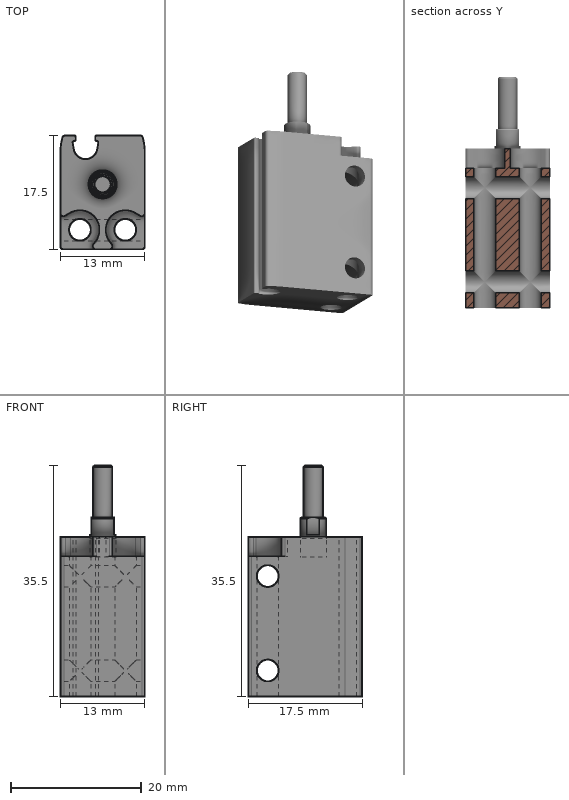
import cadquery as cq
import math

width = 13.0
depth = 17.5
housing_height = 24.5
total_height = 35.5
half_width = width / 2
half_depth = depth / 2
corner_radius = 0.5

crown_radius = 8.88
crown_length = 2.65

hole_diameter = 3.3
hole_inset = 3.0
hole_x = half_width - hole_inset
hole_y = -half_depth + hole_inset
cross_hole_heights = (4.0, 18.5)
recess_radius = 6.0 / 2
recess_depth = 2.98
foot_radius = 0.5
front_foot_lean = math.radians(37)
side_foot_lean = math.radians(30)

slot_x = -2.63
slot_opening = 2.98
slot_mouth_depth = 0.9
slot_shoulder_width = 3.98
slot_radius = 1.8
slot_depth = 3.62
slot_lip_radius = 0.25
slot_shoulder_radius = 0.18

rod_y = 1.25
rod_diameter = 3.0
rod_tip_chamfer = 0.3
collar_diameter = 4.0
collar_top = 27.5
collar_chamfer = 0.2
flat_width = 3.5
flat_start = housing_height + 0.35
bore_depth = 3.0
bore_bottom = housing_height - bore_depth
bore_chamfer = 0.18


def make_housing_block():
    """Prism with crowned rear side walls and rounded vertical corners."""
    crown_start = half_depth - crown_length
    full_angle = math.asin(crown_length / crown_radius)

    def crown_point(angle):
        inset = crown_radius * (1 - math.cos(angle))
        return half_width - inset, crown_start + crown_radius * math.sin(angle)

    mid_x, mid_y = crown_point(full_angle / 2)
    end_x, end_y = crown_point(full_angle)
    return (
        cq.Workplane("XY")
        .moveTo(-half_width, -half_depth)
        .lineTo(half_width, -half_depth)
        .lineTo(half_width, crown_start)
        .threePointArc((mid_x, mid_y), (end_x, end_y))
        .lineTo(-end_x, end_y)
        .threePointArc((-mid_x, mid_y), (-half_width, crown_start))
        .close()
        .extrude(housing_height)
        .edges("|Z and (<Y or >Y)")
        .fillet(corner_radius)
    )


def foot_points(lean):
    """Points where the recess wall meets a neighbouring face, relative to the hole.

    A straight wall leaves the recess arc tangentially, leaning away from the
    face normal by the given angle, and a convex arc blends it into the face.
    Each point is (distance along the face, distance toward the face).
    """
    sine = math.sin(lean)
    cosine = math.cos(lean)
    wall_length = (hole_inset - recess_radius * sine) / cosine
    sharp_corner = recess_radius * cosine - wall_length * sine
    setback = foot_radius * math.tan((math.pi / 2 + lean) / 2)
    centre = sharp_corner + setback
    middle_angle = (3 * math.pi / 2 + lean) / 2

    wall_start = (recess_radius * cosine, recess_radius * sine)
    wall_end = (sharp_corner + setback * sine, hole_inset - setback * cosine)
    blend_middle = (
        centre + foot_radius * math.cos(middle_angle),
        hole_inset - foot_radius + foot_radius * math.sin(middle_angle),
    )
    face_point = (centre, hole_inset)
    return wall_start, wall_end, blend_middle, face_point


def make_recess(side):
    """Corner recess around a vertical hole, opening to the front and one side."""

    def place(inward, back):
        """Point given by its distances from the hole toward the centre and the back."""
        return side * (hole_x - inward), hole_y + back

    front_foot = [place(along, -toward) for along, toward in foot_points(front_foot_lean)]
    side_foot = [place(-toward, along) for along, toward in foot_points(side_foot_lean)]
    front_start, front_end, front_blend, front_face = front_foot
    side_start, side_end, side_blend, side_face = side_foot
    diagonal = recess_radius * math.sqrt(0.5)
    return (
        cq.Workplane("XY")
        .workplane(offset=housing_height - recess_depth)
        .moveTo(*place(-hole_inset, -hole_inset))
        .lineTo(*front_face)
        .threePointArc(front_blend, front_end)
        .lineTo(*front_start)
        .threePointArc(place(diagonal, diagonal), side_start)
        .lineTo(*side_end)
        .threePointArc(side_blend, side_face)
        .close()
        .extrude(recess_depth)
    )


def make_slot():
    """Undercut slot: narrow mouth, wide shoulders and a round floor."""
    mouth_bottom = half_depth - slot_mouth_depth
    floor_y = half_depth - slot_depth
    centre_y = floor_y + slot_radius
    mouth_half = slot_opening / 2
    shoulder_half = slot_shoulder_width / 2

    shoulder_rise = mouth_bottom - centre_y
    shoulder_angle = math.atan2(shoulder_rise, shoulder_half)
    tangent_angle = shoulder_angle - math.acos(slot_radius / math.hypot(shoulder_half, shoulder_rise))
    tangent_x = slot_radius * math.cos(tangent_angle)
    tangent_y = centre_y + slot_radius * math.sin(tangent_angle)
    return (
        cq.Workplane("XY")
        .center(slot_x, 0)
        .moveTo(-mouth_half, half_depth)
        .lineTo(-mouth_half, mouth_bottom)
        .lineTo(-shoulder_half, mouth_bottom)
        .lineTo(-tangent_x, tangent_y)
        .threePointArc((0, floor_y), (tangent_x, tangent_y))
        .lineTo(shoulder_half, mouth_bottom)
        .lineTo(mouth_half, mouth_bottom)
        .lineTo(mouth_half, half_depth)
        .close()
        .extrude(housing_height)
    )


def vertical_edges_at(x_offset, y):
    """Selector for the pair of vertical slot edges at +/- x_offset from its middle."""
    margin = 0.05
    selector = None
    for side in (-1, 1):
        x = slot_x + side * x_offset
        box = cq.selectors.BoxSelector(
            (x - margin, y - margin, -margin), (x + margin, y + margin, housing_height + margin)
        )
        selector = box if selector is None else selector + box
    return selector


def cut_slot(body):
    """Cut the slot, then round its lips and shoulders."""
    mouth_bottom = half_depth - slot_mouth_depth
    lips = vertical_edges_at(slot_opening / 2, half_depth) + vertical_edges_at(slot_opening / 2, mouth_bottom)
    shoulders = vertical_edges_at(slot_shoulder_width / 2, mouth_bottom)
    body = body.cut(make_slot())
    body = body.edges("|Z").edges(lips).fillet(slot_lip_radius)
    return body.edges("|Z").edges(shoulders).fillet(slot_shoulder_radius)


def make_housing():
    """Housing with slot, recesses, mounting holes and the rod bore."""
    body = cut_slot(make_housing_block())
    for side in (-1, 1):
        body = body.cut(make_recess(side))

    vertical_holes = (
        cq.Workplane("XY")
        .pushPoints([(-hole_x, hole_y), (hole_x, hole_y)])
        .circle(hole_diameter / 2)
        .extrude(housing_height)
    )
    cross_holes = (
        cq.Workplane("YZ")
        .pushPoints([(hole_y, height) for height in cross_hole_heights])
        .circle(hole_diameter / 2)
        .extrude(half_width, both=True)
    )
    bore = (
        cq.Workplane("XY")
        .workplane(offset=bore_bottom)
        .center(0, rod_y)
        .circle(collar_diameter / 2)
        .extrude(bore_depth)
    )
    bore_mouth = (
        cq.Workplane("XY")
        .workplane(offset=housing_height)
        .center(0, rod_y)
        .circle(collar_diameter / 2 + bore_chamfer)
        .extrude(-bore_chamfer, taper=45)
    )
    return body.cut(vertical_holes).cut(cross_holes).cut(bore).cut(bore_mouth)


def make_rod():
    """Stepped rod: a collar with two flats, seated in the bore, and a slimmer tip."""
    collar = (
        cq.Workplane("XY")
        .workplane(offset=bore_bottom)
        .center(0, rod_y)
        .circle(collar_diameter / 2)
        .extrude(collar_top - bore_bottom)
        .faces(">Z")
        .chamfer(collar_chamfer)
    )
    flat_depth = (collar_diameter - flat_width) / 2
    flat_height = collar_top - flat_start
    for side in (-1, 1):
        flat_cutter = cq.Workplane("XY").box(
            flat_depth, collar_diameter, flat_height, centered=(True, True, False)
        )
        collar = collar.cut(flat_cutter.translate((side * (flat_width + flat_depth) / 2, rod_y, flat_start)))
    tip = (
        cq.Workplane("XY")
        .workplane(offset=collar_top)
        .center(0, rod_y)
        .circle(rod_diameter / 2)
        .extrude(total_height - collar_top)
        .faces(">Z")
        .chamfer(rod_tip_chamfer)
    )
    return collar.union(tip)


housing = make_housing()
rod = make_rod()
result = cq.Compound.makeCompound([housing.val(), rod.val()])